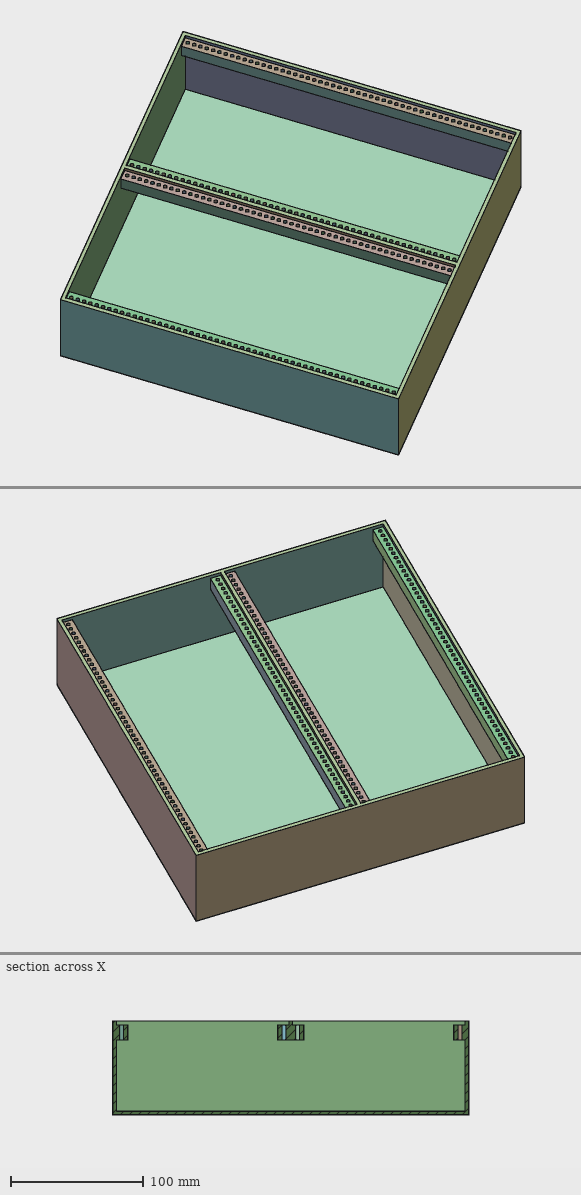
import cadquery as cq

length_x = 271.9
wall = 3.0
row_opening = 130.0
row_count = 2
height = 71.0
floor_thickness = 3.0

rail_width = 8.5
rail_height = 11.5
rail_drop = 3.0

hole_diameter = 2.7
hole_pitch = 5.08
hole_count = 52
hole_row_spacing = 122.5

width_y = row_count * row_opening + (row_count + 1) * wall
inner_length = length_x - 2 * wall
rail_top = height - rail_drop
rail_bottom = rail_top - rail_height
row_pitch = row_opening + wall
row_centers = [(i - (row_count - 1) / 2) * row_pitch for i in range(row_count)]


def tray():
    """Open-topped box, centred in X and Y, standing on Z = 0."""
    outer = cq.Workplane("XY").box(length_x, width_y, height, centered=(True, True, False))
    cavity = (
        cq.Workplane("XY", origin=(0, 0, floor_thickness))
        .box(inner_length, width_y - 2 * wall, height, centered=(True, True, False))
    )
    return outer.cut(cavity)


def divider(y):
    """Beam between neighbouring rows, from the rail undersides up to the rim."""
    return (
        cq.Workplane("XY", origin=(0, y, rail_bottom))
        .box(inner_length, wall, height - rail_bottom, centered=(True, True, False))
    )


def rail(row_center, side):
    """Rail on one side (+1 or -1) of a row, with its screw holes drilled through."""
    rail_y = row_center + side * (row_opening - rail_width) / 2
    hole_y = row_center + side * hole_row_spacing / 2
    bar = (
        cq.Workplane("XY", origin=(0, rail_y, rail_bottom))
        .box(inner_length, rail_width, rail_height, centered=(True, True, False))
    )
    holes = (
        cq.Workplane("XY", origin=(0, hole_y, rail_bottom))
        .rarray(hole_pitch, 1, hole_count, 1)
        .circle(hole_diameter / 2)
        .extrude(rail_height)
    )
    return bar.cut(holes)


result = tray()
for lower, upper in zip(row_centers, row_centers[1:]):
    result = result.union(divider((lower + upper) / 2))
for center in row_centers:
    for side in (-1, 1):
        result = result.union(rail(center, side))